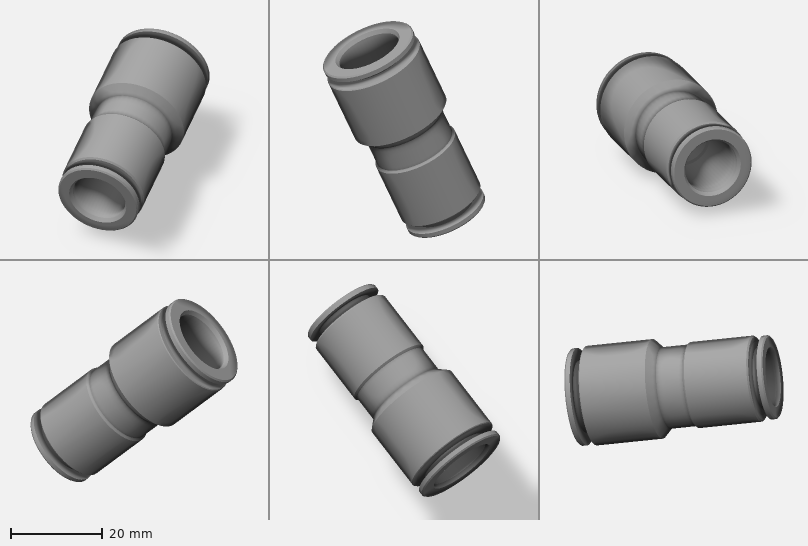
import cadquery as cq

total_length = 44.6
end_y = total_length / 2

flange_length = 1.3
flange_chamfer = 0.3
neck_length = 1.6
face_slope = 0.24
entry_widening = 0.558
entry_depth = 0.9

small_body_dia = 19.0
small_flange_dia = 18.5
small_neck_dia = 13.5
small_bore_dia = 12.15
small_body_length = 14.15
small_rim_chamfer = 0.35
small_face_dia = 16.25

large_body_dia = 22.0
large_flange_dia = 21.5
large_neck_dia = 15.8
large_bore_dia = 14.15
large_body_length = 14.9
large_rim_chamfer = 0.2
large_face_dia = 19.4

waist_dia = 18.0
passage_dia = 11.0
socket_depth = 17.85
stop_slope = 0.6


def end_profile(body_dia, flange_dia, neck_dia, body_length, rim_chamfer, face_dia):
    """Outer (radius, distance from end) points from an end face to the waist."""
    body_r = body_dia / 2
    flange_r = flange_dia / 2
    neck_r = neck_dia / 2
    waist_r = waist_dia / 2
    face_inner = flange_length + neck_length
    face_outer = face_inner + face_slope * (face_dia / 2 - neck_r)
    body_end = face_outer + rim_chamfer + body_length
    return [
        (flange_r - flange_chamfer, 0),
        (flange_r, flange_chamfer),
        (flange_r, flange_length),
        (neck_r, flange_length),
        (neck_r, face_inner),
        (face_dia / 2, face_outer),
        (body_r - rim_chamfer, face_outer),
        (body_r, face_outer + rim_chamfer),
        (body_r, body_end),
        (waist_r, body_end + body_r - waist_r),
    ]


def bore_profile(bore_dia):
    """Inner (radius, distance from end) points from the passage to an end face."""
    bore_r = bore_dia / 2
    passage_r = passage_dia / 2
    return [
        (passage_r, socket_depth + stop_slope * (bore_r - passage_r)),
        (bore_r, socket_depth),
        (bore_r, entry_depth),
        (bore_r + entry_widening, 0),
    ]


small_outer = end_profile(
    small_body_dia, small_flange_dia, small_neck_dia,
    small_body_length, small_rim_chamfer, small_face_dia,
)
large_outer = end_profile(
    large_body_dia, large_flange_dia, large_neck_dia,
    large_body_length, large_rim_chamfer, large_face_dia,
)
small_half = [(r, d - end_y) for r, d in bore_profile(small_bore_dia) + small_outer]
large_half = [(r, end_y - d) for r, d in bore_profile(large_bore_dia) + large_outer]

result = (
    cq.Workplane("XY")
    .polyline(small_half + large_half[::-1])
    .close()
    .revolve(360, (0, 0, 0), (0, 1, 0))
)